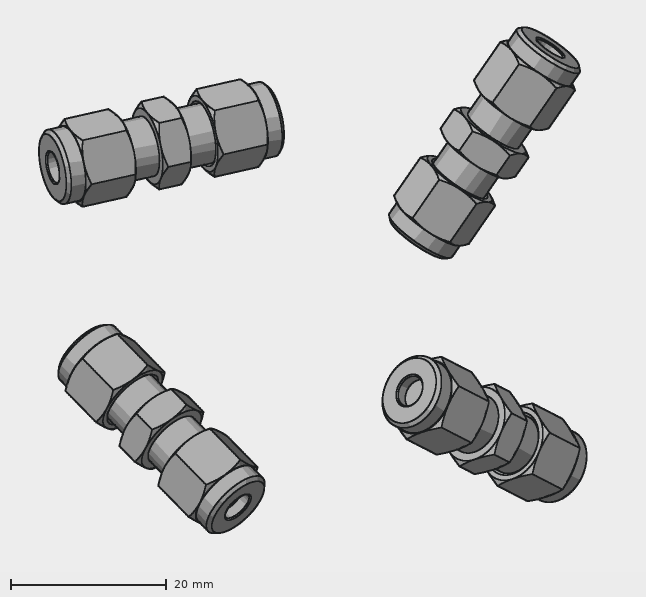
import cadquery as cq
import math

length = 30.5
across_flats = 10.0
across_corners = across_flats / math.cos(math.radians(30))
corner_bevel_angle = 30.0

neck_diameter = 7.9
middle_hex_width = 4.0

nut_hex_width = 7.0
collar_width = 2.5
collar_diameter = 9.82
collar_bevel_radial = 0.5
collar_bevel_axial = 0.5

bore_diameter = 4.05
bore_mouth_diameter = 4.42
bore_mouth_depth = 0.18
bore_depth = 1.62

countersink_diameter = 8.6
countersink_depth = 0.37

half_length = length / 2
nut_hex_outer = half_length - collar_width
nut_hex_inner = nut_hex_outer - nut_hex_width


def revolve_about_y(points):
    """Solid of revolution from (radius, y) points."""
    return cq.Workplane("XY").polyline(points).close().revolve(360, (0, 0), (0, 1))


def hexagon(y_start, y_end):
    """Hex bar with corners on X, its corners trimmed by a cone at both ends."""
    flat_radius = across_flats / 2
    corner_radius = across_corners / 2
    bevel = (corner_radius - flat_radius) * math.tan(math.radians(corner_bevel_angle))
    bar = (
        cq.Workplane("XZ", origin=(0, y_start, 0))
        .polygon(6, across_corners)
        .extrude(y_start - y_end)
    )
    envelope = revolve_about_y([
        (0, y_start),
        (flat_radius, y_start),
        (corner_radius, y_start + bevel),
        (corner_radius, y_end - bevel),
        (flat_radius, y_end),
        (0, y_end),
    ])
    return bar.intersect(envelope)


def collar():
    """Bevelled round end of the nut on the +Y side."""
    radius = collar_diameter / 2
    return revolve_about_y([
        (0, nut_hex_outer),
        (radius, nut_hex_outer),
        (radius, half_length - collar_bevel_axial),
        (radius - collar_bevel_radial, half_length),
        (0, half_length),
    ])


def tube_bore():
    """Blind tube socket with a flared mouth at the +Y end."""
    return revolve_about_y([
        (0, half_length),
        (bore_mouth_diameter / 2, half_length),
        (bore_diameter / 2, half_length - bore_mouth_depth),
        (bore_diameter / 2, half_length - bore_depth),
        (0, half_length - bore_depth),
    ])


def neck_countersink():
    """Conical countersink in the inner face of the +Y nut, closing onto the neck."""
    return revolve_about_y([
        (0, nut_hex_inner),
        (countersink_diameter / 2, nut_hex_inner),
        (neck_diameter / 2, nut_hex_inner + countersink_depth),
        (0, nut_hex_inner + countersink_depth),
    ])


neck = (
    cq.Workplane("XZ")
    .circle(neck_diameter / 2)
    .extrude(nut_hex_inner + countersink_depth, both=True)
)
middle_hex = hexagon(-middle_hex_width / 2, middle_hex_width / 2)
nut = (
    hexagon(nut_hex_inner, nut_hex_outer)
    .union(collar())
    .cut(tube_bore())
    .cut(neck_countersink())
)

result = neck.union(middle_hex).union(nut).union(nut.mirror("XZ"))